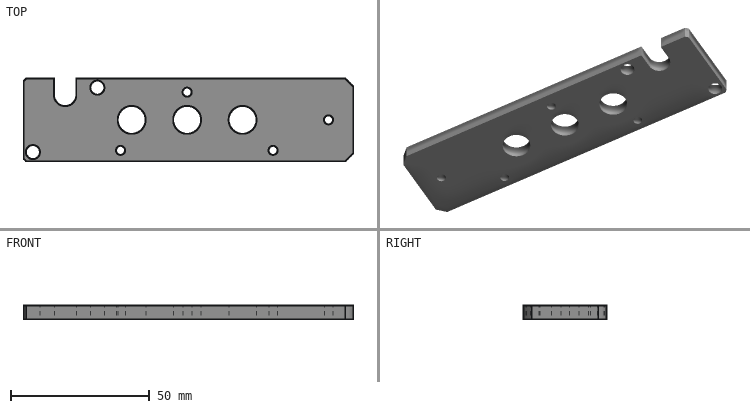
import cadquery as cq

length = 119.0
width = 30.0
thickness = 5.0
left_corner_chamfer = 1.0
right_corner_chamfer = 3.0

notch_x = 15.0
notch_width = 8.0
notch_bottom_y = 5.0

mount_hole_diameter = 5.0
mount_offset = 11.625

row_hole_diameter = 10.0
row_hole_count = 3
row_pitch = 20.0
row_middle_x = 59.0

screw_hole_diameter = 3.2
screw_points = [(35.0, -11.0), (row_middle_x, 10.0), (90.0, -11.0), (110.0, 0.0)]


def make_plate():
    """Flat plate with four chamfered corners, small on the left and large on the right."""
    plate = cq.Workplane("XY").box(length, width, thickness, centered=(False, True, False))
    plate = plate.edges("|Z and <X").chamfer(left_corner_chamfer)
    return plate.edges("|Z and >X").chamfer(right_corner_chamfer)


def make_notch():
    """Cutting body of the notch: straight sides ending in a half circle."""
    radius = notch_width / 2
    edge_y = width / 2
    arc_center_y = notch_bottom_y + radius
    return (
        cq.Workplane("XY")
        .moveTo(notch_x - radius, edge_y)
        .lineTo(notch_x - radius, arc_center_y)
        .threePointArc((notch_x, notch_bottom_y), (notch_x + radius, arc_center_y))
        .lineTo(notch_x + radius, edge_y)
        .close()
        .extrude(thickness)
    )


def make_pins(points, diameter):
    """Cutting cylinders for through holes at the given points."""
    return cq.Workplane("XY").pushPoints(points).circle(diameter / 2).extrude(thickness)


mount_points = [(notch_x + side * mount_offset, side * mount_offset) for side in (-1, 1)]
row_start_x = row_middle_x - row_pitch * (row_hole_count - 1) / 2
row_points = [(row_start_x + i * row_pitch, 0.0) for i in range(row_hole_count)]

result = make_plate().cut(make_notch())
result = result.cut(make_pins(mount_points, mount_hole_diameter))
result = result.cut(make_pins(row_points, row_hole_diameter))
result = result.cut(make_pins(screw_points, screw_hole_diameter))